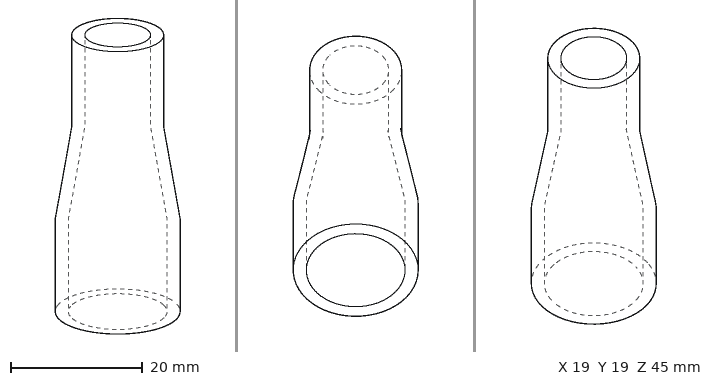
import cadquery as cq

total_height = 45.0
section_height = total_height / 3
wide_outer_radius = 19.0 / 2
wide_bore_radius = 15.0 / 2
narrow_outer_radius = 14.0 / 2
narrow_bore_radius = 10.0 / 2

taper_start = section_height
taper_end = 2 * section_height


def stepped_solid(wide_radius, narrow_radius):
    """Solid of revolution: wide cylinder, straight taper, narrow cylinder."""
    return (
        cq.Workplane("XZ")
        .moveTo(0, 0)
        .lineTo(wide_radius, 0)
        .lineTo(wide_radius, taper_start)
        .lineTo(narrow_radius, taper_end)
        .lineTo(narrow_radius, total_height)
        .lineTo(0, total_height)
        .close()
        .revolve(360, (0, 0, 0), (0, 1, 0))
    )


body = stepped_solid(wide_outer_radius, narrow_outer_radius)
bore = stepped_solid(wide_bore_radius, narrow_bore_radius)
result = body.cut(bore)